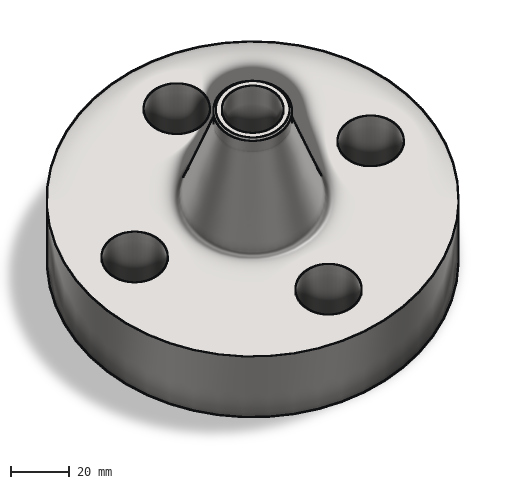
import cadquery as cq

flange_diameter = 139.7
flange_thickness = 32.0
overall_height = 79.2

bolt_count = 4
bolt_circle_diameter = 95.1
bolt_hole_diameter = 22.5

hub_base_diameter = 51.0
hub_fillet_radius = 3.0
pipe_diameter = 26.7
pipe_length = 6.8
pipe_edge_chamfer = 0.8
bore_diameter = 21.0

flange_radius = flange_diameter / 2
hub_base_radius = hub_base_diameter / 2
pipe_radius = pipe_diameter / 2
pipe_start_height = overall_height - pipe_length


def make_flange():
    """Flat disc standing on the XY plane."""
    return cq.Workplane("XY").circle(flange_radius).extrude(flange_thickness)


def make_hub():
    """Cone and straight pipe end, revolved about the Z axis."""
    return (
        cq.Workplane("XZ")
        .moveTo(0, 0)
        .lineTo(hub_base_radius, 0)
        .lineTo(hub_base_radius, flange_thickness)
        .lineTo(pipe_radius, pipe_start_height)
        .lineTo(pipe_radius, overall_height)
        .lineTo(0, overall_height)
        .close()
        .revolve(360, (0, 0, 0), (0, 1, 0))
    )


def make_bolt_holes():
    """Through holes on the bolt circle, the first one on the +X axis."""
    return (
        cq.Workplane("XY")
        .polarArray(bolt_circle_diameter / 2, 0, 360, bolt_count)
        .circle(bolt_hole_diameter / 2)
        .extrude(flange_thickness)
    )


def make_bore():
    """Straight bore along the whole height."""
    return cq.Workplane("XY").circle(bore_diameter / 2).extrude(overall_height)


body = make_flange().union(make_hub())

hub_root = cq.selectors.RadiusNthSelector(1)
body = body.edges("%CIRCLE").edges(hub_root).fillet(hub_fillet_radius)

body = body.faces(">Z").edges().chamfer(pipe_edge_chamfer)

result = body.cut(make_bolt_holes()).cut(make_bore())